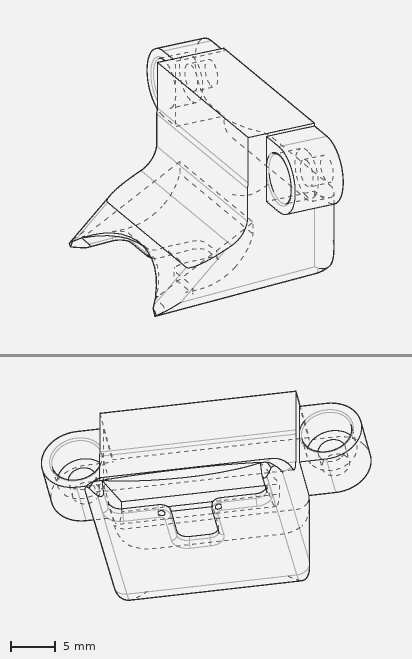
import cadquery as cq
import math

LENGTH = 36.2
BODY_WIDTH = 22.15
HALF_WIDTH = BODY_WIDTH / 2
EDGE_RADIUS = 1.5

UPRIGHT_TOP_DEPTH = 8.3
UPRIGHT_DEPTH = 8.4
STEP_TOP_Z = -5.57
STEP_BOTTOM_Z = -6.25
HEEL_DEPTH = 4.0
HEEL_CORNER_RADIUS = 4.0
HEEL_BOTTOM_RADIUS = 3.62
LEDGE_Z = -10.15
SOLE_Z = -19.1
SOLE_ANGLE = 2.8
FRONT_Y = -19.55
CREASE_Y = -15.28
CREASE_Z = -15.05
SHOULDER_ANGLE = 24.5
LIP_ANGLE = 43.2
INSTEP_TOP_Z = -10.25
INSTEP_END_Y = -10.35
INSTEP_RADIUS = 3.4

EAR_DIAMETER = 8.0
EAR_RADIUS = EAR_DIAMETER / 2
EAR_THICKNESS = 6.0
EAR_Z = -4.35
EAR_X = LENGTH / 2 - EAR_RADIUS
HOLE_DIAMETER = 3.1
COUNTERBORE_DIAMETER = 5.7
COUNTERBORE_FLOOR = 2.55
RIM_RADIUS = 0.2

BITE_RADIUS = 12.67
BITE_CREST_Y = -16.15

ROOF_CREST_Y = -15.5
ROOF_CREST_Z = -16.58
ROOF_ANGLE = 29.0
HOLLOW_RADIUS = 7.25
REAR_WALL_ANGLE = 75.0
HOLLOW_FLOOR_Z = -18.45
NOSE_Y = -13.58
MOUTH_HALF_WIDTH = 8.95
MOUTH_CORNER_RADIUS = 1.4
MOUTH_RIM_RADIUS = 0.6
NOTCH_HALF_WIDTH = 2.35
NOTCH_END_Y = -7.25
NOTCH_TOP_Z = -18.28
NOTCH_CORNER_RADIUS = 1.2

MARGIN = 3.62
HEIGHT_LIMIT = 54.3
STRIP_LENGTH = 14.48
BITE_REACH = 28.95
MOUTH_BOTTOM_Z = SOLE_Z - MARGIN

shoulder_slope = math.tan(math.radians(SHOULDER_ANGLE))
lip_angle = math.radians(LIP_ANGLE)
lip_slope = math.tan(lip_angle)
roof_slope = math.tan(math.radians(ROOF_ANGLE))
rear_wall_angle = math.radians(REAR_WALL_ANGLE)
sole_slope = math.tan(math.radians(SOLE_ANGLE))


def sole_height(y):
    return SOLE_Z + sole_slope * y


def lip_height(y):
    return CREASE_Z + lip_slope * (y - CREASE_Y)


def shoulder_height(y):
    return CREASE_Z + shoulder_slope * (y - CREASE_Y)


def roof_height(y):
    return ROOF_CREST_Z + roof_slope * (y - ROOF_CREST_Y)


def nearest(x, y, z):
    return cq.selectors.NearestToPointSelector((x, y, z))


def make_block():
    """Upright and foot with a blunt front end, its sole edges rounded from front to heel."""
    profile = (
        cq.Workplane("YZ")
        .moveTo(0, 0)
        .lineTo(-UPRIGHT_TOP_DEPTH, 0)
        .lineTo(-UPRIGHT_TOP_DEPTH, STEP_TOP_Z)
        .lineTo(-UPRIGHT_DEPTH, STEP_BOTTOM_Z)
        .lineTo(-UPRIGHT_DEPTH, INSTEP_TOP_Z)
        .radiusArc((INSTEP_END_Y, shoulder_height(INSTEP_END_Y)), INSTEP_RADIUS)
        .lineTo(FRONT_Y, shoulder_height(FRONT_Y))
        .lineTo(FRONT_Y, sole_height(FRONT_Y))
        .lineTo(HEEL_DEPTH, sole_height(HEEL_DEPTH))
        .lineTo(HEEL_DEPTH, 0)
        .close()
    )
    block = profile.extrude(HALF_WIDTH, both=True)
    block = block.edges(nearest(0, HEEL_DEPTH, sole_height(HEEL_DEPTH))).fillet(HEEL_BOTTOM_RADIUS)
    for x in (-HALF_WIDTH, HALF_WIDTH):
        block = block.edges(nearest(x, FRONT_Y / 2, sole_height(FRONT_Y / 2))).fillet(EDGE_RADIUS)
    return block


def make_heel_outline():
    """Prism with the rounded heel corners of the plan outline."""
    outline = cq.Workplane("XY").box(
        BODY_WIDTH, HEEL_DEPTH - FRONT_Y, HEIGHT_LIMIT, centered=(True, False, True)
    ).translate((0, FRONT_Y, 0))
    return outline.edges("|Z and >Y").fillet(HEEL_CORNER_RADIUS)


def make_ledge_cut():
    """Space above the heel ledge, its floor rounded up into both sides."""
    space = cq.Workplane("XY").box(
        BODY_WIDTH, HEEL_DEPTH, -LEDGE_Z, centered=(True, False, False)
    ).translate((0, 0, LEDGE_Z))
    return space.edges("|Y and <Z").fillet(EDGE_RADIUS)


def make_lip_face_cut():
    """Material in front of the sloping lip face."""
    top_y = CREASE_Y + MARGIN
    return (
        cq.Workplane("YZ")
        .moveTo(top_y, lip_height(top_y))
        .lineTo(FRONT_Y - MARGIN, lip_height(FRONT_Y - MARGIN))
        .lineTo(FRONT_Y - MARGIN, lip_height(top_y))
        .close()
        .extrude(BODY_WIDTH, both=True)
    )


def make_lip_edge_cut(side):
    """Strip outside the rounded edge between the lip face and one side of the foot."""
    downhill = (0, -math.cos(lip_angle), -math.sin(lip_angle))
    start_y = CREASE_Y + MARGIN
    start = (side * HALF_WIDTH, start_y, lip_height(start_y))
    corner = cq.Workplane(cq.Plane(origin=start, xDir=(1, 0, 0), normal=downhill))
    strip = corner.rect(2 * EDGE_RADIUS, 2 * EDGE_RADIUS).extrude(STRIP_LENGTH)
    rounding = corner.center(-side * EDGE_RADIUS, -EDGE_RADIUS).circle(EDGE_RADIUS).extrude(STRIP_LENGTH)
    return strip.cut(rounding)


def make_bite():
    """Cylinder square to the lip face, reaching through the foot from above."""
    crest = (0, BITE_CREST_Y, lip_height(BITE_CREST_Y))
    inward = (0, math.sin(lip_angle), -math.cos(lip_angle))
    face = cq.Workplane(cq.Plane(origin=crest, xDir=(1, 0, 0), normal=inward))
    return face.center(0, BITE_RADIUS).circle(BITE_RADIUS).extrude(BITE_REACH, both=True)


def make_hollow():
    """Hollow under the lip: sloping roof, level floor and a concave rear wall."""
    front_y = ROOF_CREST_Y + (HOLLOW_FLOOR_Z - ROOF_CREST_Z) / roof_slope
    rear_y = NOSE_Y + HOLLOW_RADIUS * math.sin(rear_wall_angle)
    rear_z = HOLLOW_FLOOR_Z + HOLLOW_RADIUS * (1 - math.cos(rear_wall_angle))
    return (
        cq.Workplane("YZ")
        .moveTo(front_y, HOLLOW_FLOOR_Z)
        .lineTo(NOSE_Y, HOLLOW_FLOOR_Z)
        .radiusArc((rear_y, rear_z), -HOLLOW_RADIUS)
        .lineTo(rear_y, roof_height(rear_y))
        .close()
        .extrude(MOUTH_HALF_WIDTH, both=True)
    )


def make_slot(half_width, rear_y, corner_radius):
    """Slot through the sole, open at the front, with rounded rear corners."""
    slot = cq.Workplane("XY").box(
        2 * half_width, rear_y - FRONT_Y, NOTCH_TOP_Z - MOUTH_BOTTOM_Z, centered=(True, False, False)
    ).translate((0, FRONT_Y, MOUTH_BOTTOM_Z))
    return slot.edges("|Z and >Y").fillet(corner_radius)


def make_mouth():
    """Opening through the sole below the lip, with a notch in the middle of its rear edge."""
    opening = make_slot(MOUTH_HALF_WIDTH, NOSE_Y, MOUTH_CORNER_RADIUS)
    mouth = opening.union(make_slot(NOTCH_HALF_WIDTH, NOTCH_END_Y, NOTCH_CORNER_RADIUS))
    middle_z = (NOTCH_TOP_Z + MOUTH_BOTTOM_Z) / 2
    for x in (-NOTCH_HALF_WIDTH, NOTCH_HALF_WIDTH):
        mouth = mouth.edges(nearest(x, NOSE_Y, middle_z)).fillet(NOTCH_CORNER_RADIUS)
    return mouth


def make_ear(side):
    """Ear with a screw hole counterbored from the front, its rim rounded."""
    face = cq.Workplane("XZ", origin=(side * EAR_X, 0, EAR_Z))
    disc = face.circle(EAR_RADIUS).extrude(EAR_THICKNESS)
    arm = face.center(-side * EAR_RADIUS / 2, 0).rect(EAR_RADIUS, 2 * EAR_RADIUS).extrude(EAR_THICKNESS)
    hole = face.circle(HOLE_DIAMETER / 2).extrude(EAR_THICKNESS)
    counterbore = (
        face.workplane(offset=COUNTERBORE_FLOOR)
        .circle(COUNTERBORE_DIAMETER / 2)
        .extrude(EAR_THICKNESS - COUNTERBORE_FLOOR)
    )
    ear = disc.union(arm).cut(hole).cut(counterbore)
    rim = nearest(side * EAR_X, -EAR_THICKNESS, EAR_Z)
    return ear.faces("<Y").edges("%CIRCLE").edges(rim).fillet(RIM_RADIUS)


body = make_block().intersect(make_heel_outline()).cut(make_ledge_cut()).cut(make_lip_face_cut())
for side in (-1, 1):
    body = body.cut(make_lip_edge_cut(side))
body = body.cut(make_hollow()).cut(make_mouth())
body = body.edges(nearest(MOUTH_HALF_WIDTH / 2, NOSE_Y, sole_height(NOSE_Y))).fillet(MOUTH_RIM_RADIUS)
body = body.cut(make_bite())
for side in (-1, 1):
    body = body.union(make_ear(side))
result = body